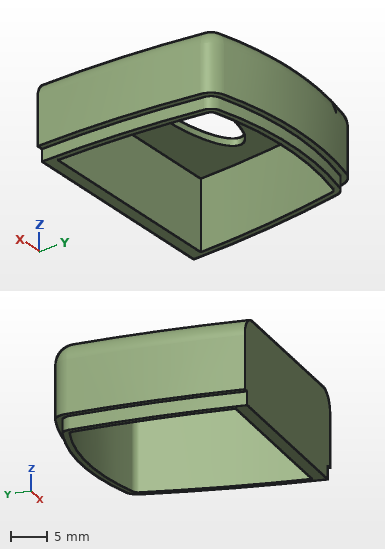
import cadquery as cq
import math

width = 36.4
depth = 31.1
height = 12.9

side_radius = 163.8
back_radius = 50.95
edge_radius = 3.0

wall = 2.0
roof = 1.2
lip_height = 2.0
lip_inset = wall / 2

opening_length = 24.02
opening_width = 8.0
opening_y = 12.1


def outline_corner(inset):
    """Point where the right side arc meets the back arc, both moved inward by inset."""
    side_r = side_radius - inset
    back_r = back_radius - inset
    side_x = width / 2 - side_radius
    back_y = depth - back_radius
    span = math.hypot(side_x, back_y)
    along = (side_r**2 - back_r**2 + span**2) / (2 * span)
    across = math.sqrt(side_r**2 - along**2)
    x = side_x - (side_x * along + back_y * across) / span
    y = (back_y * along - side_x * across) / span
    return x, y


def bowed_block(inset, front, bottom, top):
    """Block with a flat front, bowed sides and back, and sharp back corners."""
    side_r = side_radius - inset
    side_x = width / 2 - side_radius
    x, y = outline_corner(inset)

    def side_point(at_y):
        return side_x + math.sqrt(side_r**2 - at_y**2), at_y

    front_x, _ = side_point(front)
    mid_x, mid_y = side_point((front + y) / 2)
    return (
        cq.Workplane("XY")
        .workplane(offset=bottom)
        .moveTo(-front_x, front)
        .lineTo(front_x, front)
        .threePointArc((mid_x, mid_y), (x, y))
        .threePointArc((0, depth - inset), (-x, y))
        .threePointArc((-mid_x, mid_y), (-front_x, front))
        .close()
        .extrude(top - bottom)
    )


def back_corners(block):
    """Upright edges where the sides meet the back."""
    return block.edges("|Z").edges(">Y")


cover = bowed_block(0, 0, lip_height, height)
top_rim = cover.faces(">Z").edges("not <Y")
cover = back_corners(cover).add(top_rim).fillet(edge_radius)

lip = bowed_block(lip_inset, 0, 0, lip_height)
lip = back_corners(lip).fillet(edge_radius - lip_inset)

cavity = bowed_block(wall, wall, 0, height - roof)
cavity = back_corners(cavity).fillet(edge_radius - wall)

opening = (
    cq.Workplane("XY")
    .workplane(offset=height - 2 * roof)
    .center(0, opening_y)
    .ellipse(opening_length / 2, opening_width / 2)
    .extrude(3 * roof)
)

result = cover.union(lip).cut(cavity).cut(opening)